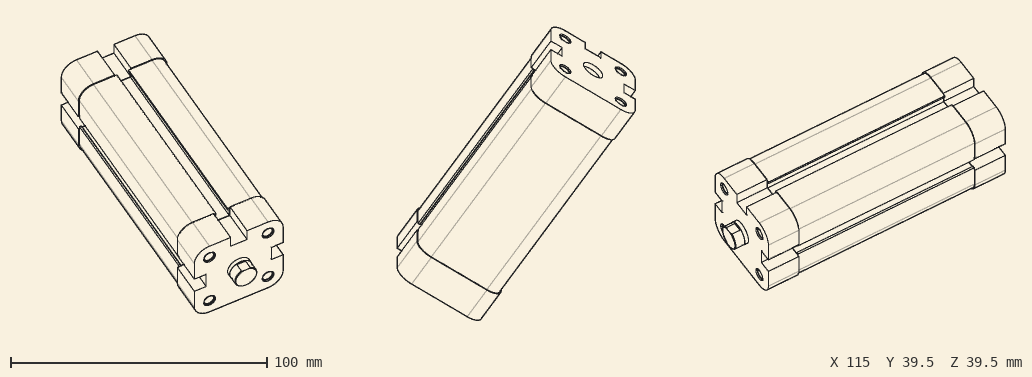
import cadquery as cq

cap_length = 14.0
tube_length = 81.0
rod_projection = 6.0
tube_end = cap_length + tube_length
front_face = tube_end + cap_length
rod_tip = front_face + rod_projection

cap_width = 39.5
tube_width = 38.5
bolt_spacing = 26.0

slot_angles = (0, 90, -90)
cap_slot_width = 7.3
cap_slot_floor = 14.5
tube_slot_width = 6.6
tube_slot_floor = 14.8
slot_mouth_width = 5.2
slot_lip_thickness = 0.9

bolt_hole_diameter = 4.2
counterbore_diameter = 5.2
counterbore_depth = 0.6

recess_diameter = 9.0
recess_depth = 2.0

rod_diameter = 10.0
rod_end_diameter = 9.8
rod_step = front_face + 1.65
rod_tip_chamfer = 0.3
flat_start = front_face + 2.0
across_flats = 9.0


def rounded_bar(width, start, length):
    """Square bar along X whose corner arcs are centred on the bolt holes."""
    corner_radius = (width - bolt_spacing) / 2
    bar = cq.Workplane("YZ").workplane(offset=start).rect(width, width).extrude(length)
    return bar.edges("|X").fillet(corner_radius)


def cut_slots(body, width, floor, top, start, length):
    """Cut a rectangular channel along X, from floor to top, on each slotted side."""
    channel = cq.Workplane("XY").box(length, width, top - floor, centered=(False, True, False))
    channel = channel.translate((start, 0, floor))
    for angle in slot_angles:
        body = body.cut(channel.rotate((0, 0, 0), (1, 0, 0), angle))
    return body


def cut_bolt_holes(body, diameter, start, length):
    """Cut the four-hole bolt pattern along X."""
    holes = (
        cq.Workplane("YZ").workplane(offset=start)
        .rect(bolt_spacing, bolt_spacing, forConstruction=True).vertices()
        .circle(diameter / 2).extrude(length)
    )
    return body.cut(holes)


def make_cap(start, counterbore_start):
    """End cap with open slots and bolt holes counterbored from the outer face."""
    cap = rounded_bar(cap_width, start, cap_length)
    cap = cut_slots(cap, cap_slot_width, cap_slot_floor, cap_width / 2, start, cap_length)
    cap = cut_bolt_holes(cap, bolt_hole_diameter, start, cap_length)
    return cut_bolt_holes(cap, counterbore_diameter, counterbore_start, counterbore_depth)


def make_rear_cap():
    recess = cq.Workplane("YZ").circle(recess_diameter / 2).extrude(recess_depth)
    return make_cap(0, 0).cut(recess)


def make_front_cap():
    rod_hole = cq.Workplane("YZ").workplane(offset=tube_end).circle(rod_diameter / 2).extrude(cap_length)
    return make_cap(tube_end, front_face - counterbore_depth).cut(rod_hole)


def make_tube():
    """Profile bar whose slots are narrowed at the mouth by a pair of lips."""
    tube = rounded_bar(tube_width, cap_length, tube_length)
    lip_bottom = tube_width / 2 - slot_lip_thickness
    tube = cut_slots(tube, tube_slot_width, tube_slot_floor, lip_bottom, cap_length, tube_length)
    tube = cut_slots(tube, slot_mouth_width, lip_bottom, tube_width / 2, cap_length, tube_length)
    return cut_bolt_holes(tube, bolt_hole_diameter, cap_length, tube_length)


def make_rod():
    """Stepped rod through the front cap, with flats facing +Z and -Z."""
    rod = (
        cq.Workplane("YZ").workplane(offset=tube_end)
        .circle(rod_diameter / 2).extrude(rod_step - tube_end)
        .faces(">X").workplane().circle(rod_end_diameter / 2).extrude(rod_tip - rod_step)
        .faces(">X").chamfer(rod_tip_chamfer)
    )
    flat_cut = cq.Workplane("XY").box(
        rod_tip - flat_start, rod_diameter, rod_diameter, centered=(False, True, False)
    ).translate((flat_start, 0, across_flats / 2))
    return rod.cut(flat_cut).cut(flat_cut.mirror("XY"))


rear_cap = make_rear_cap()
tube = make_tube()
front_cap = make_front_cap()
rod = make_rod()

result = cq.Compound.makeCompound([rear_cap.val(), tube.val(), front_cap.val(), rod.val()])